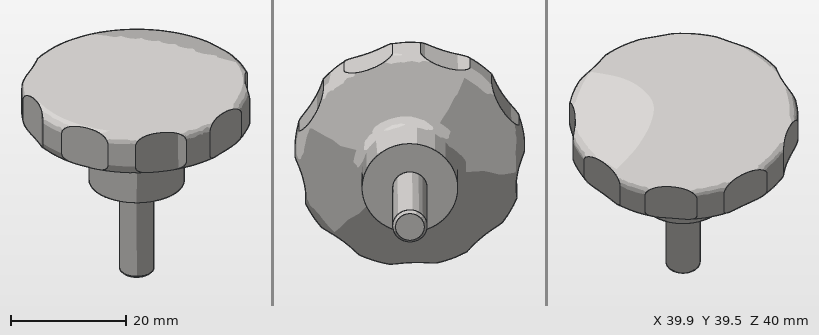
import cadquery as cq
import math

grip_radius = 20.0
knob_height = 22.0
hub_radius = 8.3
dome_radius = 71.5
rim_fillet = 2.0
hub_fillet = 2.0

cone_angle = 14.3
cone_corner_height = 9.05

scallop_count = 9
scallop_radius = 15.0
scallop_floor_radius = 18.78
first_scallop_angle = -90.0

stud_radius = 3.0
stud_length = 18.0
stud_chamfer = 0.5
stud_embed = 5.0


def knob_blank():
    """Revolved knob body with its rim and hub corners rounded."""
    dome_center_height = knob_height - dome_radius

    def dome_height(radius):
        return dome_center_height + math.sqrt(dome_radius**2 - radius**2)

    cone_rise = (grip_radius - hub_radius) * math.tan(math.radians(cone_angle))
    cone_edge_height = cone_corner_height + cone_rise
    rim_top_height = dome_height(grip_radius)
    arc_mid_radius = grip_radius / 2

    body = (
        cq.Workplane("XZ")
        .lineTo(hub_radius, 0)
        .lineTo(hub_radius, cone_corner_height)
        .lineTo(grip_radius, cone_edge_height)
        .lineTo(grip_radius, rim_top_height)
        .threePointArc((arc_mid_radius, dome_height(arc_mid_radius)), (0, knob_height))
        .close()
        .revolve(360, (0, 0), (0, 1))
    )

    def edge_at(radius, height):
        tolerance = 0.05
        low = (-radius - tolerance, -radius - tolerance, height - tolerance)
        high = (radius + tolerance, radius + tolerance, height + tolerance)
        return cq.selectors.BoxSelector(low, high, boundingbox=True)

    body = body.edges(edge_at(grip_radius, rim_top_height)).fillet(rim_fillet)
    body = body.edges(edge_at(grip_radius, cone_edge_height)).fillet(rim_fillet)
    return body.edges(edge_at(hub_radius, cone_corner_height)).fillet(hub_fillet)


def scallop_cutters():
    """Upright cylinders spaced evenly around the rim."""
    return (
        cq.Workplane("XY")
        .polarArray(scallop_floor_radius + scallop_radius, first_scallop_angle, 360, scallop_count)
        .circle(scallop_radius)
        .extrude(knob_height)
    )


def stud():
    """Plain stud below the hub with a chamfered tip."""
    return (
        cq.Workplane("XY", origin=(0, 0, -stud_length))
        .circle(stud_radius)
        .extrude(stud_length + stud_embed)
        .faces("<Z")
        .chamfer(stud_chamfer)
    )


result = knob_blank().cut(scallop_cutters()).union(stud())